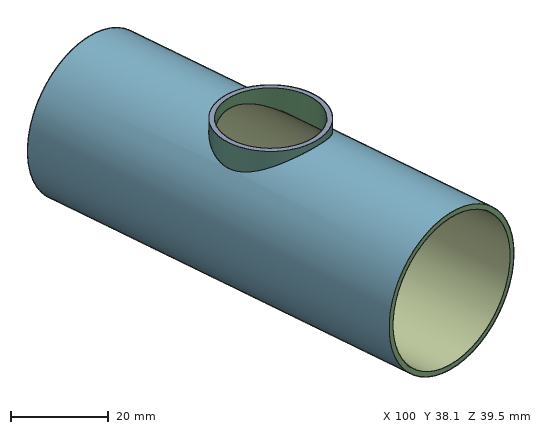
import cadquery as cq

tube_length = 100.0
tube_outer_diameter = 38.1
tube_inner_diameter = 35.7

branch_outer_diameter = 25.4
branch_inner_diameter = 23.0
overall_height = 39.5
branch_top = overall_height - tube_outer_diameter / 2


def main_cylinder(diameter):
    """Cylinder along X, centred on the origin."""
    return cq.Workplane("YZ").circle(diameter / 2).extrude(tube_length / 2, both=True)


def branch_cylinder(diameter):
    """Cylinder from the main tube axis up to the branch mouth."""
    return cq.Workplane("XY").circle(diameter / 2).extrude(branch_top)


outer_body = main_cylinder(tube_outer_diameter).union(branch_cylinder(branch_outer_diameter))
tube_bore = main_cylinder(tube_inner_diameter)
branch_bore = branch_cylinder(branch_inner_diameter)

result = outer_body.cut(tube_bore).cut(branch_bore)